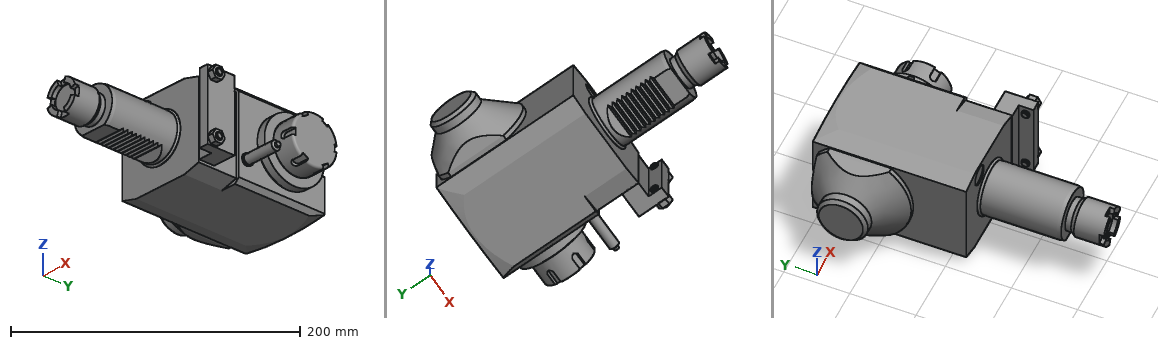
import math

import cadquery as cq


BLOCK_LEFT = -39.0
BLOCK_RIGHT = 41.7
BLOCK_BACK = 116.0
BLOCK_HEIGHT = 75.0
HALF_HEIGHT = BLOCK_HEIGHT / 2
TAPER_ANGLE = 15.0
TAPER_DROP = 3.9
TAPER_RUN = TAPER_DROP / math.tan(math.radians(TAPER_ANGLE))
EDGE_CHAMFER = TAPER_DROP
STEP_RIGHT = 39.2
STEP_BACK = 35.3
CROWN_RADIUS = 234.0
CROWN_TILT = 9.9
CROWN_SKEW = 21.4
CROWN_X = -13.4
CROWN_PEAK_Z = 33.0
KEYWAY_WIDTH = 9.6
KEYWAY_DEPTH = 4.0
PLUG_X = -16.3
PLUG_Z = 27.9
PLUG_DIAMETER = 15.0
PLUG_DEPTH = 1.0

SPINDLE_Y = 80.0
COVER_RADIUS = 40.0
COVER_FLANGE_LEFT = -42.7
CAP_RADIUS = 19.3
CAP_RIGHT = COVER_FLANGE_LEFT - (COVER_RADIUS - CAP_RADIUS)
CAP_LEFT = -72.2
CAP_CHAMFER = 2.6
COVER_HALF_HEIGHT = 32.5
COVER_BACK = 111.4

NECK_RADIUS = 26.5
RING_LEFT = 42.6
RING_RIGHT = 49.9
RING_RADIUS = 28.1
RING_HOLE_DIAMETER = 5.4
RING_HOLE_DEPTH = 4.0
SPINDLE_RADIUS = 16.5
NUT_LEFT = 51.0
NUT_RIGHT = 71.3
NUT_RADIUS = 21.2
NUT_BACK_CHAMFER = 0.5
NUT_ROUND = 2.0
NUT_SLOT_COUNT = 6
NUT_SLOT_WIDTH = 5.6
NUT_SLOT_LEFT = 59.3
NUT_SLOT_DEPTH = 3.0

PIN_Y = 43.0
PIN_Z = -17.5
PIN_RADIUS = 4.0
PIN_COLLAR_RADIUS = 4.8
PIN_COLLAR_LENGTH = 1.4
PIN_SHOULDER = 72.1
PIN_TIP_RADIUS = 2.0
PIN_TIP_CONE = 1.0
PIN_END = 73.94

BRACKET_HALF_HEIGHT = 31.2
BRACKET_BACK = 14.5
BRACKET_ARM_FRONT = 0.5
BRACKET_FRONT = -10.7
BRACKET_RIGHT = 60.0
BRACKET_LEG_LEFT = 51.7
BOLT_Y = -4.9
BOLT_Z = 25.0
BOLT_FLATS = 10.0
BOLT_HEAD_HEIGHT = 5.1
BOLT_STUD_RADIUS = 3.0
BOLT_STUD_LEFT = 49.6
BOLT_STUD_RIGHT = 66.3
BOLT_STUD_CHAMFER = 0.8

COLLAR_RADIUS = 21.4
COLLAR_LENGTH = 2.2
UNDERCUT_RADIUS = 19.8
SHANK_RADIUS = 20.0
SHANK_START = -3.7
SHANK_CHAMFER_START = -60.0
SHANK_END = -63.0
SHANK_END_RADIUS = 19.4
DRIVE_NECK_RADIUS = 12.5
DRIVE_CONE_START = -67.4
DRIVE_START = -70.6
DRIVE_RADIUS = 14.7
DRIVE_END = -93.0
DRIVE_BORE_RADIUS = 10.1
DRIVE_BORE_DEPTH = 4.0
DRIVE_SLOT_DEPTH = 3.4
DRIVE_SLOT_COUNT = 4
DRIVE_SLOT_INNER_WIDTH = 5.7
DRIVE_SLOT_OUTER_WIDTH = 8.9

TOOTH_COUNT = 10
TOOTH_PITCH = 4.0
TOOTH_FIRST_ROOT = -11.5
TOOTH_ROOT_Z = -14.2
TOOTH_TIP_Z = -15.9

MARGIN = 1.0


def turned_about_x(profile, y, z):
    """Revolve (x, radius) points about the line parallel to X through (y, z)."""
    outline = cq.Workplane("XY").polyline(profile).close()
    return outline.revolve(360, (0, 0, 0), (1, 0, 0)).translate((0, y, z))


def box_between(x_range, y_range, z_range):
    size = [high - low for low, high in (x_range, y_range, z_range)]
    corner = (x_range[0], y_range[0], z_range[0])
    return cq.Workplane("XY").box(*size, centered=False).translate(corner)


def block_section(right, right_run, length):
    """Housing cross-section in XZ, extruded from the front face (y = 0) toward +Y."""
    side = HALF_HEIGHT - TAPER_DROP
    upper = [
        (BLOCK_LEFT, side),
        (BLOCK_LEFT + TAPER_RUN, HALF_HEIGHT),
        (right - right_run, HALF_HEIGHT),
        (right, side),
    ]
    lower = [(x, -z) for x, z in reversed(upper)]
    return cq.Workplane("XZ").polyline(upper + lower).close().extrude(-length)


def crown():
    """Large tilted cylinder that bounds the upper half of the housing at its back end."""
    skew = math.radians(CROWN_SKEW)
    tilt = math.radians(CROWN_TILT)
    axis = cq.Vector(
        -math.sin(skew) * math.cos(tilt),
        math.cos(skew) * math.cos(tilt),
        -math.sin(tilt),
    )
    middle = cq.Vector(CROWN_X, BLOCK_BACK, CROWN_PEAK_Z - CROWN_RADIUS)
    reach = 2 * BLOCK_BACK
    cylinder = cq.Solid.makeCylinder(CROWN_RADIUS, 2 * reach, middle - axis * reach, axis)
    return cq.Workplane(obj=cylinder)


def housing():
    front = block_section(STEP_RIGHT, TAPER_RUN, STEP_BACK)
    back = block_section(BLOCK_RIGHT, EDGE_CHAMFER, BLOCK_BACK)
    upper_back = box_between((BLOCK_LEFT, BLOCK_RIGHT), (STEP_BACK, BLOCK_BACK), (0, HALF_HEIGHT))
    upper = back.intersect(upper_back).intersect(crown())
    body = front.union(upper.union(upper.mirror("XY")))
    keyway = box_between(
        (BLOCK_LEFT - MARGIN, BLOCK_RIGHT + MARGIN),
        (BLOCK_BACK - KEYWAY_DEPTH, BLOCK_BACK + MARGIN),
        (-KEYWAY_WIDTH / 2, KEYWAY_WIDTH / 2),
    )
    plug = cq.Workplane("XZ").center(PLUG_X, PLUG_Z).circle(PLUG_DIAMETER / 2).extrude(-PLUG_DEPTH)
    return body.cut(keyway).cut(plug)


def spindle_cover():
    cover = turned_about_x(
        [
            (BLOCK_LEFT + MARGIN, 0),
            (BLOCK_LEFT + MARGIN, COVER_RADIUS),
            (COVER_FLANGE_LEFT, COVER_RADIUS),
            (CAP_RIGHT, CAP_RADIUS),
            (CAP_LEFT + CAP_CHAMFER, CAP_RADIUS),
            (CAP_LEFT, CAP_RADIUS - CAP_CHAMFER),
            (CAP_LEFT, 0),
        ],
        SPINDLE_Y,
        0,
    )
    run = COVER_FLANGE_LEFT - CAP_LEFT
    end_height = COVER_HALF_HEIGHT - run * math.tan(math.radians(TAPER_ANGLE))
    upper = [
        (BLOCK_LEFT + MARGIN, COVER_HALF_HEIGHT),
        (COVER_FLANGE_LEFT, COVER_HALF_HEIGHT),
        (CAP_LEFT, end_height),
    ]
    lower = [(x, -z) for x, z in reversed(upper)]
    envelope = cq.Workplane("XZ").polyline(upper + lower).close().extrude(-COVER_BACK)
    return cover.intersect(envelope)


def nut_slot(angle):
    """Round-ended wrench slot, open at the nut's right end."""
    radius = NUT_SLOT_WIDTH / 2
    straight = box_between(
        (NUT_SLOT_LEFT + radius, NUT_RIGHT + MARGIN),
        (-radius, radius),
        (NUT_RADIUS - NUT_SLOT_DEPTH, NUT_RADIUS + MARGIN),
    )
    end = (
        cq.Workplane("XY", origin=(NUT_SLOT_LEFT + radius, 0, NUT_RADIUS - NUT_SLOT_DEPTH))
        .circle(radius)
        .extrude(NUT_SLOT_DEPTH + MARGIN)
    )
    slot = straight.union(end).rotate((0, 0, 0), (1, 0, 0), angle)
    return slot.translate((0, SPINDLE_Y, 0))


def ring_hole():
    """Blind wrench hole in the top of the ring, ending in a 90 degree drill point."""
    radius = RING_HOLE_DIAMETER / 2
    shoulder = RING_RADIUS - RING_HOLE_DEPTH
    outline = [
        (0, RING_RADIUS + MARGIN),
        (radius, RING_RADIUS + MARGIN),
        (radius, shoulder),
        (0, shoulder - radius),
    ]
    hole = cq.Workplane("XZ").polyline(outline).close().revolve(360, (0, 0, 0), (0, 1, 0))
    return hole.translate(((RING_LEFT + RING_RIGHT) / 2, SPINDLE_Y, 0))


def collet_nut():
    nut = turned_about_x(
        [
            (BLOCK_RIGHT - MARGIN, 0),
            (BLOCK_RIGHT - MARGIN, NECK_RADIUS),
            (RING_LEFT, NECK_RADIUS),
            (RING_LEFT, RING_RADIUS),
            (RING_RIGHT, RING_RADIUS),
            (RING_RIGHT, SPINDLE_RADIUS),
            (NUT_LEFT, SPINDLE_RADIUS),
            (NUT_LEFT, NUT_RADIUS - NUT_BACK_CHAMFER),
            (NUT_LEFT + NUT_BACK_CHAMFER, NUT_RADIUS),
            (NUT_RIGHT, NUT_RADIUS),
            (NUT_RIGHT, 0),
        ],
        SPINDLE_Y,
        0,
    )
    nut = nut.faces(">X").edges().fillet(NUT_ROUND)
    for index in range(NUT_SLOT_COUNT):
        nut = nut.cut(nut_slot((index + 0.5) * 360 / NUT_SLOT_COUNT))
    return nut.cut(ring_hole())


def coolant_pin():
    return turned_about_x(
        [
            (BLOCK_RIGHT - MARGIN, 0),
            (BLOCK_RIGHT - MARGIN, PIN_COLLAR_RADIUS),
            (BLOCK_RIGHT + PIN_COLLAR_LENGTH, PIN_COLLAR_RADIUS),
            (BLOCK_RIGHT + PIN_COLLAR_LENGTH, PIN_RADIUS),
            (PIN_SHOULDER - PIN_TIP_CONE, PIN_RADIUS),
            (PIN_SHOULDER, PIN_TIP_RADIUS),
            (PIN_END, PIN_TIP_RADIUS),
            (PIN_END, 0),
        ],
        PIN_Y,
        PIN_Z,
    )


def bolt(z):
    head = (
        cq.Workplane("YZ", origin=(BRACKET_RIGHT, BOLT_Y, z))
        .polygon(6, BOLT_FLATS / math.cos(math.pi / 6))
        .extrude(BOLT_HEAD_HEIGHT)
    )
    end_radius = BOLT_STUD_RADIUS - BOLT_STUD_CHAMFER
    stud = turned_about_x(
        [
            (BOLT_STUD_LEFT, 0),
            (BOLT_STUD_LEFT, end_radius),
            (BOLT_STUD_LEFT + BOLT_STUD_CHAMFER, BOLT_STUD_RADIUS),
            (BOLT_STUD_RIGHT - BOLT_STUD_CHAMFER, BOLT_STUD_RADIUS),
            (BOLT_STUD_RIGHT, end_radius),
            (BOLT_STUD_RIGHT, 0),
        ],
        BOLT_Y,
        z,
    )
    return head.union(stud)


def stop_bracket():
    outline = [
        (STEP_RIGHT - MARGIN, BRACKET_BACK),
        (BRACKET_RIGHT, BRACKET_BACK),
        (BRACKET_RIGHT, BRACKET_FRONT),
        (BRACKET_LEG_LEFT, BRACKET_FRONT),
        (BRACKET_LEG_LEFT, BRACKET_ARM_FRONT),
        (STEP_RIGHT - MARGIN, BRACKET_ARM_FRONT),
    ]
    bracket = cq.Workplane("XY").polyline(outline).close().extrude(BRACKET_HALF_HEIGHT, both=True)
    return bracket.union(bolt(BOLT_Z)).union(bolt(-BOLT_Z))


def serration():
    """Cutter that flattens the underside of the shank and cuts 90 degree V teeth into it."""
    bottom = -SHANK_RADIUS - MARGIN
    groove = TOOTH_ROOT_Z - TOOTH_TIP_Z
    ramp_start = TOOTH_FIRST_ROOT + (TOOTH_ROOT_Z - bottom)
    outline = [(ramp_start, bottom), (TOOTH_FIRST_ROOT, TOOTH_ROOT_Z)]
    for index in range(TOOTH_COUNT):
        root = TOOTH_FIRST_ROOT - index * TOOTH_PITCH
        if index > 0:
            outline += [(root + groove, TOOTH_TIP_Z), (root, TOOTH_ROOT_Z)]
        outline.append((root - groove, TOOTH_TIP_Z))
    outline += [(SHANK_END - MARGIN, TOOTH_TIP_Z), (SHANK_END - MARGIN, bottom)]
    return cq.Workplane("YZ").polyline(outline).close().extrude(SHANK_RADIUS, both=True)


def drive_slot(angle):
    """Slot across the drive end's rim, widening outward."""
    rim = DRIVE_RADIUS - DRIVE_BORE_RADIUS
    flare = (DRIVE_SLOT_OUTER_WIDTH - DRIVE_SLOT_INNER_WIDTH) / 2 / rim
    inner = DRIVE_BORE_RADIUS - MARGIN
    outer = DRIVE_RADIUS + MARGIN
    inner_half = DRIVE_SLOT_INNER_WIDTH / 2 - flare * MARGIN
    outer_half = DRIVE_SLOT_OUTER_WIDTH / 2 + flare * MARGIN
    outline = [(inner, -inner_half), (outer, -outer_half), (outer, outer_half), (inner, inner_half)]
    slot = cq.Workplane("XZ", origin=(0, DRIVE_END, 0)).polyline(outline).close().extrude(-DRIVE_SLOT_DEPTH)
    return slot.rotate((0, 0, 0), (0, 1, 0), angle)


def shank():
    bead = COLLAR_LENGTH / 2
    profile = (
        cq.Workplane("XY")
        .moveTo(0, MARGIN)
        .lineTo(COLLAR_RADIUS - bead, MARGIN)
        .lineTo(COLLAR_RADIUS - bead, 0)
        .threePointArc((COLLAR_RADIUS, -bead), (COLLAR_RADIUS - bead, -COLLAR_LENGTH))
        .lineTo(UNDERCUT_RADIUS, -COLLAR_LENGTH)
        .lineTo(SHANK_RADIUS, SHANK_START)
        .lineTo(SHANK_RADIUS, SHANK_CHAMFER_START)
        .lineTo(SHANK_END_RADIUS, SHANK_END)
        .lineTo(DRIVE_NECK_RADIUS, SHANK_END)
        .lineTo(DRIVE_NECK_RADIUS, DRIVE_CONE_START)
        .lineTo(DRIVE_RADIUS, DRIVE_START)
        .lineTo(DRIVE_RADIUS, DRIVE_END)
        .lineTo(0, DRIVE_END)
        .close()
    )
    body = profile.revolve(360, (0, 0, 0), (0, 1, 0)).cut(serration())
    bore = cq.Workplane("XZ", origin=(0, DRIVE_END, 0)).circle(DRIVE_BORE_RADIUS).extrude(-DRIVE_BORE_DEPTH)
    body = body.cut(bore)
    for index in range(DRIVE_SLOT_COUNT):
        body = body.cut(drive_slot(index * 360 / DRIVE_SLOT_COUNT))
    return body


result = housing()
for component in (spindle_cover(), collet_nut(), coolant_pin(), stop_bracket(), shank()):
    result = result.union(component)